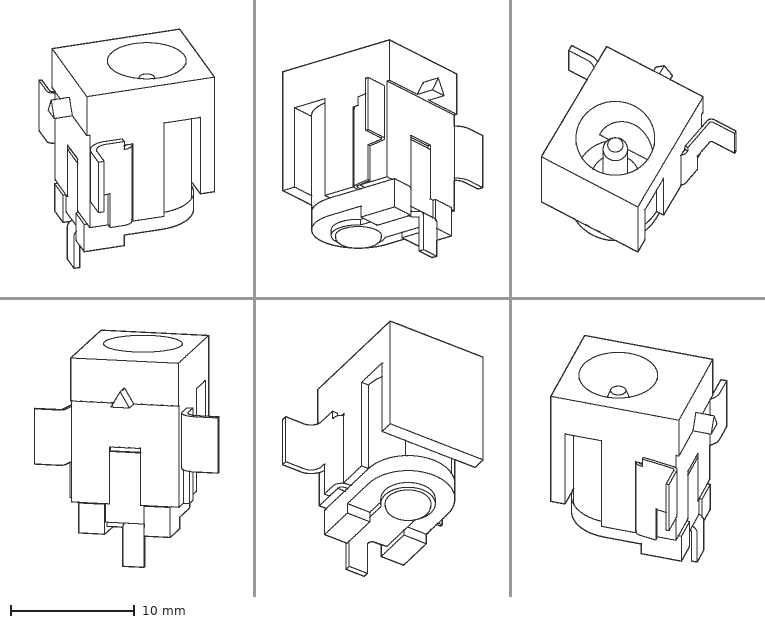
import cadquery as cq
import math


half_width = 4.47
back_y = 4.3
upper_front_y = -6.6
lower_front_y = -6.35
top_z = 17.02
front_step_z = 13.46
seat_z = 5.04
bore_radius = 3.19
bore_floor_z = 8.0
barrel_radius = 3.8
barrel_top_z = 13.54
back_wall_y = 3.08
back_wall_bottom_z = 6.57
key_half_width = 0.77
key_height = 1.31
key_tip_y = -8.15

base_bottom_z = 3.51
foot_bottom_z = 2.55
foot_back_y = -3.17
foot_inner_x = 1.64
tongue_half_width = 1.29
tongue_top_z = 9.38
tongue_thickness = 0.25
tongue_window_top_z = 9.75

pin_radius = 0.99
pin_tip_radius = 0.62
pin_tip_z = 15.5
pin_taper_length = 1.0
pin_shoulder_radius = 1.94
rivet_radius = 1.86
rivet_edge_radius = 0.36

terminal_bottom_z = 3.02
terminal_thickness = base_bottom_z - terminal_bottom_z
terminal_ring_radius = 2.21
tab_left_x = -0.12
tab_front_y = -6.75
tab_outer_bend = 0.6
tab_inner_bend = tab_outer_bend - terminal_thickness
tab_side_fillet = 0.49
terminal_edge_y = -5.75

contact_foot_front_y = -6.72
foot_top_z = 12.68
foot_lower_z = 8.1
root_top_z = 11.95
root_slit_top_z = 12.07
root_front_y = -3.57
skirt_front_y = -4.79

spring_thickness = 0.25
spring_foot_x = -7.46
spring_outer_x = -4.73
spring_lean = math.radians(10)
spring_root_back_y = -2.89
spring_root_end_x = 2.6
spring_root_bend = 0.42
spring_foot_bend = 0.355
spring_crest_y = -pin_shoulder_radius
spring_crest_z = bore_floor_z + 2.0
spring_bow_radius = 5.0
spring_bow_start = math.radians(8)
spring_bow_end = math.radians(45)

switch_thickness = 0.5
switch_foot_x = 7.78
switch_root_back_y = -2.67
switch_root_end_x = 3.2
switch_root_bend = 0.64
switch_foot_bend = 1.28


def block(x_range, y_range, z_range):
    """Box given by its limits along each axis."""
    limits = (x_range, y_range, z_range)
    sizes = [high - low for low, high in limits]
    corner = [low for low, high in limits]
    return cq.Workplane("XY").box(*sizes, centered=False).translate(tuple(corner))


def cylinder(radius, z_range):
    """Upright cylinder on the pin axis."""
    low, high = z_range
    return cq.Workplane("XY").workplane(offset=low).circle(radius).extrude(high - low)


def bent_strip(start, corners, bend_radii, end, thickness, z_range):
    """Upright sheet whose middle line runs from start to end, rounded at each corner."""
    low, high = z_range
    path = cq.Workplane("XY", origin=(0, 0, low)).moveTo(*start)
    points = [cq.Vector(*point) for point in (start, *corners, end)]
    for before, corner, after, radius in zip(points, points[1:], points[2:], bend_radii):
        arriving = (corner - before).normalized()
        leaving = (after - corner).normalized()
        setback = radius * math.tan(arriving.getAngle(leaving) / 2)
        bend_start = corner - arriving * setback
        bend_end = corner + leaving * setback
        path = path.lineTo(bend_start.x, bend_start.y)
        path = path.tangentArcPoint((bend_end.x, bend_end.y), relative=False)
    path = path.lineTo(*end)
    heading = (points[1] - points[0]).toTuple()
    section = cq.Plane(origin=(*start, low), xDir=(0, 0, 1), normal=heading)
    height = high - low
    return cq.Workplane(section).center(height / 2, 0).rect(height, thickness).sweep(path)


def trim_contact(strip):
    """Lower the top edge behind the foot and remove the sheet below the foot."""
    reach = 2 * half_width
    x_range = (-reach, reach)
    above_root = block(x_range, (root_front_y, 0), (root_top_z, top_z))
    below_foot = block(x_range, (2 * contact_foot_front_y, skirt_front_y), (0, foot_lower_z))
    return strip.cut(above_root).cut(below_foot)


def make_spring_contact():
    root_y = spring_root_back_y - spring_thickness / 2
    foot_y = contact_foot_front_y + spring_thickness / 2
    middle_x = spring_outer_x + spring_thickness / 2
    lean_per_y = math.tan(spring_lean)
    root_corner = (middle_x + (root_y - root_front_y) * lean_per_y, root_y)
    foot_corner = (middle_x + (foot_y - root_front_y) * lean_per_y, foot_y)
    sheet = bent_strip(
        (spring_root_end_x, root_y),
        [root_corner, foot_corner],
        [spring_root_bend, spring_foot_bend],
        (spring_foot_x, foot_y),
        spring_thickness,
        (seat_z, foot_top_z),
    )
    return trim_contact(sheet).union(make_bow())


def make_bow():
    """Leg leaning from the sheet to a crest beside the pin, then an arc back to the bore wall."""
    centre_y = spring_crest_y - spring_bow_radius * math.cos(spring_bow_start)
    centre_z = spring_crest_z - spring_bow_radius * math.sin(spring_bow_start)
    middle = (spring_bow_start + spring_bow_end) / 2

    def bow_point(radius, angle):
        return (centre_y + radius * math.cos(angle), centre_z + radius * math.sin(angle))

    outer = spring_bow_radius
    inner = spring_bow_radius - spring_thickness
    bow = (
        cq.Workplane("YZ", origin=(-bore_radius, 0, 0))
        .moveTo(spring_root_back_y, bore_floor_z)
        .lineTo(*bow_point(outer, spring_bow_start))
        .threePointArc(bow_point(outer, middle), bow_point(outer, spring_bow_end))
        .lineTo(*bow_point(inner, spring_bow_end))
        .threePointArc(bow_point(inner, middle), bow_point(inner, spring_bow_start))
        .lineTo(spring_root_back_y - spring_thickness, bore_floor_z)
        .close()
        .extrude(2 * bore_radius)
    )
    return bow.intersect(cylinder(bore_radius, (bore_floor_z, top_z)))


def make_switch_contact():
    root_y = switch_root_back_y - switch_thickness / 2
    foot_y = contact_foot_front_y + switch_thickness / 2
    side_x = half_width + switch_thickness / 2
    sheet = bent_strip(
        (switch_root_end_x, root_y),
        [(side_x, root_y), (side_x, foot_y)],
        [switch_root_bend, switch_foot_bend],
        (switch_foot_x, foot_y),
        switch_thickness,
        (seat_z, foot_top_z),
    )
    return trim_contact(sheet)


def make_housing():
    sides = (-half_width, half_width)
    body = block(sides, (lower_front_y, 0), (seat_z, top_z))
    body = body.union(block(sides, (upper_front_y, back_y), (barrel_top_z, top_z)))
    body = body.union(block(sides, (upper_front_y, 0), (front_step_z, top_z)))
    body = body.union(block(sides, (back_wall_y, back_y), (back_wall_bottom_z, top_z)))
    body = body.union(make_barrel()).union(make_key())
    body = body.cut(cylinder(bore_radius, (bore_floor_z, top_z)))
    body = body.cut(cylinder(pin_shoulder_radius, (seat_z, bore_floor_z)))
    return body.cut(make_tongue(tongue_window_top_z)).cut(make_root_slits())


def make_barrel():
    """Round barrel, cut flat in line with the inner face of the back wall."""
    barrel = cylinder(barrel_radius, (seat_z, top_z))
    sides = (-barrel_radius, barrel_radius)
    return barrel.intersect(block(sides, (-barrel_radius, back_wall_y), (seat_z, top_z)))


def make_key():
    """Triangular polarity key on the front."""
    return (
        cq.Workplane("XZ", origin=(0, upper_front_y, front_step_z))
        .polyline([(-key_half_width, 0), (key_half_width, 0), (0, key_height)])
        .close()
        .extrude(upper_front_y - key_tip_y)
    )


def make_root_slits():
    """Slits, open at the bottom, that hold the roots of the two side contacts."""
    z_range = (seat_z, root_slit_top_z)
    spring_depth = (root_front_y, spring_root_back_y)
    spring_slit = block((-half_width, spring_root_end_x), spring_depth, z_range)
    switch_depth = (root_front_y, switch_root_back_y)
    return spring_slit.union(block((switch_root_end_x, half_width), switch_depth, z_range))


def make_tongue(upper_z):
    """Upright tongue flush with the lower front face of the housing."""
    sides = (-tongue_half_width, tongue_half_width)
    return block(sides, (lower_front_y, lower_front_y + tongue_thickness), (seat_z, upper_z))


def make_base():
    sides = (-barrel_radius, barrel_radius)
    thickness = (base_bottom_z, seat_z)
    plate = block(sides, (upper_front_y, 0), thickness).union(cylinder(barrel_radius, thickness))
    feet = block(sides, (upper_front_y, foot_back_y), (foot_bottom_z, base_bottom_z))
    between_feet = (-foot_inner_x, foot_inner_x)
    feet_gap = block(between_feet, (upper_front_y, foot_back_y), (foot_bottom_z, base_bottom_z))
    front_recess = block(between_feet, (upper_front_y, lower_front_y), thickness)
    base = plate.union(feet).cut(feet_gap).cut(front_recess)
    return base.union(make_tongue(tongue_top_z)).cut(cylinder(pin_radius, thickness))


def make_terminal():
    thickness = (terminal_bottom_z, base_bottom_z)
    sides = (-foot_inner_x, foot_inner_x)
    tab_sides = (tab_left_x, foot_inner_x)
    plate = cylinder(terminal_ring_radius, thickness).union(block(sides, (terminal_edge_y, 0), thickness))
    plate = plate.union(block(tab_sides, (tab_front_y, terminal_edge_y), thickness))
    side_corner = (tab_left_x, terminal_edge_y, terminal_bottom_z + terminal_thickness / 2)
    plate = plate.edges(cq.NearestToPointSelector(side_corner)).fillet(tab_side_fillet)
    tab = block(tab_sides, (tab_front_y, tab_front_y + terminal_thickness), (0, base_bottom_z))
    terminal = plate.union(tab)
    outer_corner = (foot_inner_x / 2, tab_front_y, base_bottom_z)
    inner_corner = (foot_inner_x / 2, tab_front_y + terminal_thickness, terminal_bottom_z)
    for corner, radius in ((outer_corner, tab_outer_bend), (inner_corner, tab_inner_bend)):
        terminal = terminal.edges(cq.NearestToPointSelector(corner)).fillet(radius)
    return terminal.cut(cylinder(pin_radius, thickness))


def make_pin():
    shank = cylinder(pin_radius, (foot_bottom_z, pin_tip_z))
    shank = shank.faces(">Z").chamfer(pin_taper_length, pin_radius - pin_tip_radius)
    shoulder = cylinder(pin_shoulder_radius, (seat_z, bore_floor_z))
    rivet_head = cylinder(rivet_radius, (foot_bottom_z, terminal_bottom_z))
    rivet_head = rivet_head.faces("<Z").edges().fillet(rivet_edge_radius)
    return shank.union(shoulder).union(rivet_head)


housing = make_housing()
base = make_base()
pin = make_pin()
terminal = make_terminal()
spring_contact = make_spring_contact()
switch_contact = make_switch_contact()

bodies = [housing, base, pin, terminal, spring_contact, switch_contact]
result = cq.Compound.makeCompound([body.solids().val() for body in bodies])